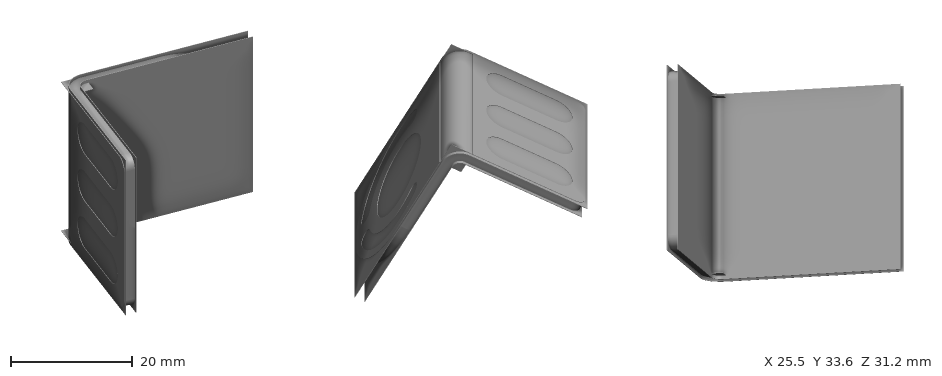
import cadquery as cq
import math

panel_length = 25.5
disc_length = 33.65
height = 31.2

cap_thickness = 0.1
sheet_thickness = 0.1
inner_face = 2.05
core_thickness = inner_face - cap_thickness

bend_center = 3.5
corner_size = 4.0
corner_plate_thickness = 0.1

core_height = 30.0
core_top = core_height / 2
panel_end = 25.1
panel_corner_radius = 2.0
disc_center = 18.1

slot_length = 16.1
slot_width = 6.0
slot_count = 3
slot_pitch = 9.45
slot_center = 14.57
round_opening_radius = 7.6
arc_slot_radius = 11.95
arc_slot_width = 3.0
arc_slot_start = 113.2
arc_slot_end = 15.4


def bent_layer(outer_offset, inner_offset, layer_height):
    """L-shaped band with a rounded bend, between two offsets from the outside."""
    outer_radius = bend_center - outer_offset
    inner_radius = bend_center - inner_offset
    diagonal = math.sqrt(0.5)
    outer_mid = bend_center - outer_radius * diagonal
    inner_mid = bend_center - inner_radius * diagonal
    return (
        cq.Workplane("XY")
        .workplane(offset=-layer_height / 2)
        .moveTo(panel_length, outer_offset)
        .lineTo(bend_center, outer_offset)
        .threePointArc((outer_mid, outer_mid), (outer_offset, bend_center))
        .lineTo(outer_offset, disc_length)
        .lineTo(inner_offset, disc_length)
        .lineTo(inner_offset, bend_center)
        .threePointArc((inner_mid, inner_mid), (bend_center, inner_offset))
        .lineTo(panel_length, inner_offset)
        .close()
        .extrude(layer_height)
    )


def panel_slab(start, depth):
    """Rectangular leg outline with two rounded free corners, on the Y side."""
    return (
        cq.Workplane("XZ", origin=(0, start, 0))
        .moveTo((corner_size + panel_end) / 2, 0)
        .rect(panel_end - corner_size, core_height)
        .extrude(-depth)
        .edges("|Y and >X")
        .fillet(panel_corner_radius)
    )


def disc_slab(start, depth):
    """Leg outline with a semicircular free end, on the X side."""
    return (
        cq.Workplane("YZ", origin=(start, 0, 0))
        .moveTo(corner_size, -core_top)
        .lineTo(disc_center, -core_top)
        .threePointArc((disc_center + core_top, 0), (disc_center, core_top))
        .lineTo(corner_size, core_top)
        .close()
        .extrude(depth)
    )


def polar_point(radius, angle):
    """Point about the disc center, with the angle measured from +Y."""
    radians = math.radians(angle)
    return (disc_center + radius * math.cos(radians), radius * math.sin(radians))


def arc_slot(side):
    """Curved slot with round ends, above (side 1) or below (side -1) the disc center."""
    outer = arc_slot_radius + arc_slot_width / 2
    inner = arc_slot_radius - arc_slot_width / 2
    start = side * arc_slot_start
    end = side * arc_slot_end
    middle = (start + end) / 2
    tip_angle = side * math.degrees(2 * math.asin(arc_slot_width / (4 * arc_slot_radius)))
    return (
        cq.Workplane("YZ")
        .moveTo(*polar_point(outer, start))
        .threePointArc(polar_point(outer, middle), polar_point(outer, end))
        .threePointArc(polar_point(arc_slot_radius, end - tip_angle), polar_point(inner, end))
        .threePointArc(polar_point(inner, middle), polar_point(inner, start))
        .threePointArc(polar_point(arc_slot_radius, start + tip_angle), polar_point(outer, start))
        .close()
        .extrude(cap_thickness)
    )


outer_sheet = bent_layer(cap_thickness, cap_thickness + sheet_thickness, height)
inner_sheet = bent_layer(inner_face - sheet_thickness, inner_face, height)

corner_block = cq.Workplane("XY").box(corner_size, corner_size, core_height, centered=(False, False, True))
bend_core = bent_layer(cap_thickness, inner_face, core_height).intersect(corner_block)
panel_core = panel_slab(cap_thickness, core_thickness)
disc_core = disc_slab(cap_thickness, core_thickness)

panel_slots = (
    cq.Workplane("XZ")
    .center(slot_center, 0)
    .rarray(0.35, slot_pitch, 1, slot_count)
    .slot2D(slot_length, slot_width)
    .extrude(-cap_thickness)
)
panel_cap = panel_slab(0, cap_thickness).cut(panel_slots)

disc_opening = cq.Workplane("YZ").center(disc_center, 0).circle(round_opening_radius).extrude(cap_thickness)
disc_cap = disc_slab(0, cap_thickness).cut(disc_opening)
for side in (1, -1):
    disc_cap = disc_cap.cut(arc_slot(side))

result = bend_core.union(panel_core).union(disc_core)
result = result.union(outer_sheet).union(inner_sheet)
result = result.union(panel_cap).union(disc_cap)

for bottom in (-core_top, core_top - corner_plate_thickness):
    corner_plate = cq.Workplane("XY", origin=(0, 0, bottom)).rect(corner_size, corner_size, centered=False)
    result = result.union(corner_plate.extrude(corner_plate_thickness))